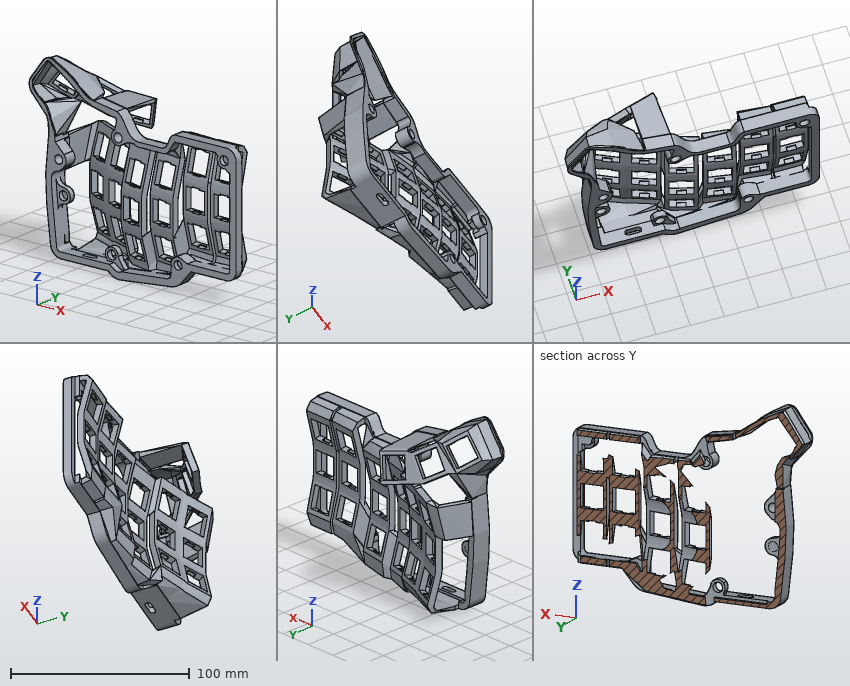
import cadquery as cq
import math


FLATNESS = 1e-6
DECIMALS = 9

PLATE_SIZE = 18.8
PLATE_THICKNESS = 4.0
KEY_OPENING = 14.0
CLIP_WIDTH = 5.4
CLIP_REACH = 0.6
CLIP_DEPTH = 2.5

ROW_GAP = 3.4
ROW_ANGLE = 14.0
BOTTOM_MARGIN = 0.5
COLUMNS = [
    ((29.9, 23.6, 42.6), 25.0, 3.6),
    ((49.3, 15.6, 43.3), 20.0, 3.6),
    ((68.3, 5.5, 40.0), 15.0, 6.2),
    ((90.6, 4.6, 43.8), 9.5, 2.5),
    ((112.8, 6.9, 55.2), 5.5, 2.5),
    ((133.3, 6.6, 55.2), 0.0, 2.5),
]
BOTTOM_END, BOTTOM_KEY_TOP, MIDDLE_LOW, MIDDLE_HIGH, TOP_KEY_LOW, TOP_END = range(6)

THUMB_WIDTH = 17.1
THUMB_KEYS = [
    ((17.0, 14.6, 103.5), 38.7, 32.0, 0.0),
    ((32.6, 24.4, 94.5), 32.6, 28.5, 7.0),
    ((52.0, 33.16, 88.1), 12.0, 21.5, 14.0),
]

THUMB_RIM_HEIGHT = 1.1
RIM_HEIGHT = 8.0
LEFT_RIM_HEIGHT = 12.3
RIGHT_RIM_HEIGHT = 5.1
RIM_LEFT, RIM_RIGHT = 0.0, 147.36
RIM_TOP = 120.86
BOTTOM_RIM_HEIGHT = 16.1
BOTTOM_RIM_X = (24.0, 57.0)
BOTTOM_RIM_TOP_Z = 6.0
RIGHT_BAR_X = 142.7
UPPER_Z, STEP_Z, LOWER_Z, BOTTOM_Z = 94.1, 84.4, 15.5, 3.6
UPPER_BAR, STEP_BAR, SIDE_BAR = 4.3, 3.0, 4.1
CORNER_RADIUS = 7.0
THUMB_RIM_END_X = 46.0
THUMB_RIM_END_Z = 75.0
LEFT_RIM_X = 19.0
LEFT_RIM_Z = (10.0, 74.0)
WALL_ROOT = 0.8

THUMB_BELLY = (0.85, 0.6)
SHOULDER_BELLY = (0.3, 0.93)
SLIGHT_BELLY = (0.75, 0.65)
ROUND_BELLY = (0.85, 0.85)
DEEP_BELLY = (0.6, 0.87)
FLAP_BELLY = (0.55, 0.9)

SLOT_X, SLOT_Y = 39.7, 4.6
SLOT_LENGTH, SLOT_WIDTH = 9.4, 3.4
SLOT_REACH = 9.0

BOSS_RECESS = 4.3
FLAT_SIDE, FLAT_TOP = 3.5, 3.0
THROUGH, BLIND = RIM_HEIGHT, 3.0
LEFT_BOSS = (21.0, 39.5, 4.9, 5.9, BOSS_RECESS, BLIND)
BOTTOM_BOSS = (55.4, 11.8, 4.6, 5.9, BOSS_RECESS, THROUGH)
BOSSES = [
    LEFT_BOSS,
    BOTTOM_BOSS,
    (21.0, 62.1, 5.3, 5.5, 0.0, THROUGH),
    (105.9, 17.4, 4.9, 5.5, 0.0, BLIND),
    (138.7, 86.3, 4.9, 5.9, 0.0, BLIND),
    (63.2, 83.9, 4.7, 5.9, 0.0, THROUGH),
]


def facets_of(a, b, c, d):
    """Keep a flat four-cornered face; split a warped one along a diagonal set by its corners."""
    va, vb, vc, vd = (cq.Vector(*p) for p in (a, b, c, d))
    normal = (vc - va).cross(vd - vb)
    if abs((vb - va).dot(normal)) < FLATNESS * normal.Length:
        return [[a, b, c, d]]
    corners = [a, b, c, d]
    first = corners.index(min(corners))
    a, b, c, d = corners[first:] + corners[:first]
    return [[a, b, c], [a, c, d]]


def face(points):
    vectors = [cq.Vector(*p) for p in points]
    return cq.Face.makeFromWires(cq.Wire.makePolygon(vectors, close=True))


def skin(lower, upper):
    """Solid with flat facets between two outlines of equally many points."""
    count = len(lower)
    facets = []
    for i in range(count):
        j = (i + 1) % count
        facets += facets_of(lower[i], lower[j], upper[j], upper[i])
    for end in (lower, upper):
        facets += facets_of(*end) if count == 4 else [end]
    return solid_of(facets)


def solid_of(facets):
    """Solid closed by flat facets, each a list of corners."""
    solid = cq.Solid.makeSolid(cq.Shell.makeShell([face(f) for f in facets]))
    return solid if solid.Volume() > 0 else cq.Solid(solid.wrapped.Reversed())


def hull(points):
    """Convex solid around a few points."""
    vectors = [cq.Vector(*p) for p in points]
    facets = {}
    count = len(vectors)
    triples = [(a, b, c) for c in range(count) for b in range(c) for a in range(b)]
    for a, b, c in triples:
        normal = (vectors[b] - vectors[a]).cross(vectors[c] - vectors[a])
        if normal.Length < FLATNESS:
            continue
        normal = normal.normalized()
        heights = [(v - vectors[a]).dot(normal) for v in vectors]
        if min(heights) > -FLATNESS or max(heights) < FLATNESS:
            facets[tuple(i for i, h in enumerate(heights) if abs(h) < FLATNESS)] = normal
    return solid_of([ring_order([vectors[i] for i in f], n) for f, n in facets.items()])


def ring_order(vectors, normal):
    """Corners of a flat convex facet, put in order around its middle."""
    middle = sum(vectors, cq.Vector()) * (1 / len(vectors))
    right = (vectors[0] - middle).normalized()
    up = normal.cross(right)
    ordered = sorted(vectors, key=lambda v: math.atan2((v - middle).dot(up), (v - middle).dot(right)))
    return [v.toTuple() for v in ordered]


def world(plane, x, y, depth):
    """Point at (x, y) on a plate's underside plane, moved back by depth."""
    return tuple(round(c, DECIMALS) for c in plane.toWorldCoords((x, y, -depth)).toTuple())


def key_opening(plane):
    """Square switch opening with clip notches at its two ends, open to the underside."""
    through = 3 * PLATE_THICKNESS
    opening = cq.Workplane(plane).box(KEY_OPENING, KEY_OPENING, through)
    notch_length = KEY_OPENING + 2 * CLIP_REACH
    notches = cq.Workplane(plane).box(CLIP_WIDTH, notch_length, 2 * CLIP_DEPTH)
    return opening.union(notches).val()


def column_plane(centre, tilt):
    a = math.radians(tilt)
    across = (math.cos(a), -math.sin(a), 0)
    return cq.Plane(origin=centre, xDir=across, normal=(-math.sin(a), -math.cos(a), 0))


def half_profile(margin):
    """Underside and back points (distance, depth) from the middle key to one end."""
    bend = math.radians(ROW_ANGLE)
    y = PLATE_SIZE / 2
    depth = 0.0
    under = [(y, depth)]
    for length, angle in ((ROW_GAP, bend / 2), (PLATE_SIZE + margin, bend)):
        y += length * math.cos(angle)
        depth += length * math.sin(angle)
        under.append((y, depth))
    back = []
    for (y, depth), lean in zip(under, (bend / 4, 3 * bend / 4, bend)):
        back.append((y - PLATE_THICKNESS * math.sin(lean), depth + PLATE_THICKNESS * math.cos(lean)))
    return under, back


def column_side(column, side, first=BOTTOM_END, last=TOP_END):
    """Outline of one side of a column (side -1 left, +1 right) between two bend lines."""
    centre, tilt, margin = COLUMNS[column]
    plane = column_plane(centre, tilt)
    x = side * PLATE_SIZE / 2
    low = half_profile(BOTTOM_MARGIN)
    high = half_profile(margin)
    lines = []
    for down, up in zip(low, high):
        lines.append([(-y, d) for y, d in reversed(down)] + up)
    under = lines[0][first:last + 1]
    back = lines[1][first:last + 1]
    return [world(plane, x, y, d) for y, d in under + back[::-1]]


def column_end(column, line):
    """Four corners of a column's end: back left, back right, under right, under left."""
    under_left, back_left = column_side(column, -1, line, line)
    under_right, back_right = column_side(column, 1, line, line)
    return [back_left, back_right, under_right, under_left]


def column_openings(column):
    centre, tilt, _ = COLUMNS[column]
    plane = column_plane(centre, tilt)
    bend = math.radians(ROW_ANGLE)
    under, _ = half_profile(0)
    y = (under[1][0] + under[2][0]) / 2
    depth = (under[1][1] + under[2][1]) / 2
    openings = [key_opening(plane)]
    for way in (-1, 1):
        normal = plane.zDir * math.cos(bend) + plane.yDir * (way * math.sin(bend))
        openings.append(key_opening(cq.Plane(world(plane, 0, way * y, depth), plane.xDir, normal)))
    return openings


def column_joint(left, first, last):
    """Web between a column and the next one to its right."""
    return skin(column_side(left, 1, first, last), column_side(left + 1, -1, first, last))


def thumb_plane(key):
    centre, turn, tilt, pitch = THUMB_KEYS[key]
    f, t, p = (math.radians(angle) for angle in (turn, tilt, pitch))
    across = cq.Vector(math.cos(t) * math.cos(f), math.sin(t), -math.cos(t) * math.sin(f))
    along = cq.Vector(math.sin(f), 0, math.cos(f))
    normal = across.cross(along)
    return cq.Plane(centre, across, normal * math.cos(p) - along * math.sin(p))


def thumb_edge(key, across, along):
    """Back and underside points at a corner of a thumb plate."""
    plane = thumb_plane(key)
    x = across * THUMB_WIDTH / 2
    y = along * PLATE_SIZE / 2
    return world(plane, x, y, PLATE_THICKNESS), world(plane, x, y, 0)


def strip(first, second):
    """Four corners from two (back, underside) or (outer, inner) edges."""
    return [first[0], second[0], second[1], first[1]]


def thumb_side(key, side):
    return strip(thumb_edge(key, side, -1), thumb_edge(key, side, 1))


def rim_edge(height, outer, inner):
    """Outer and inner (X, Z) points on the rim, just below its given height."""
    y = height - WALL_ROOT
    return (outer[0], y, outer[1]), (inner[0], y, inner[1])


def wall(plate_end, rim_strip, belly=None):
    """Pieces of a wall from a plate edge down to the rim.

    The belly gives how far along the way to the rim (sideways) and up to the
    plate (upward) the middle of the wall lies, as fractions.
    """
    if belly is None:
        return [hull(plate_end + rim_strip)]
    sideways, upward = belly
    middle = []
    for (px, py, pz), (rx, ry, rz) in zip(plate_end, rim_strip):
        middle.append((px + (rx - px) * sideways, ry + (py - ry) * upward, pz + (rz - pz) * sideways))
    return [hull(plate_end + middle), hull(middle + rim_strip)]


def thumb_walls():
    lower_end = rim_edge(LEFT_RIM_HEIGHT, (13.8, 74.5), (17.5, 74.5))
    lower_foot = rim_edge(THUMB_RIM_HEIGHT, (13.8, 74.5), (17.5, 74.5))
    lower_bend = rim_edge(THUMB_RIM_HEIGHT, (12.9, 85.5), (15.0, 84.4))
    lower = rim_edge(THUMB_RIM_HEIGHT, (7.9, 92.0), (9.4, 93.4))
    left = rim_edge(THUMB_RIM_HEIGHT, (0.3, 101.5), (2.3, 102.0))
    tip = rim_edge(THUMB_RIM_HEIGHT, (12.8, 120.4), (13.3, 118.6))
    upper = rim_edge(THUMB_RIM_HEIGHT, (27.4, 114.0), (27.0, 110.9))
    upper_end = rim_edge(THUMB_RIM_HEIGHT, (45.2, 101.9), (45.0, 99.2))
    inner_key_left = rim_edge(RIM_HEIGHT, (46.2, 101.7), (46.0, 98.9))
    inner_key_right = rim_edge(RIM_HEIGHT, (62.6, 98.8), (61.5, 95.8))
    low_left, high_left = thumb_edge(0, -1, -1), thumb_edge(0, -1, 1)
    low_right, high_right = thumb_edge(0, 1, -1), thumb_edge(0, 1, 1)
    low_joint = strip(low_right, thumb_edge(1, -1, -1))
    return [
        wall(strip(low_left, high_left), strip(left, tip), THUMB_BELLY),
        wall(strip(high_left, high_right), strip(tip, upper), THUMB_BELLY),
        wall(strip(high_right, thumb_edge(1, -1, 1)), strip(upper, upper_end), THUMB_BELLY),
        wall(strip(low_left, low_right), strip(left, lower), THUMB_BELLY),
        wall(low_joint, strip(lower, lower_bend)),
        wall(low_joint, strip(lower_bend, lower_end) + list(lower_foot)),
        wall(
            strip(thumb_edge(2, -1, 1), thumb_edge(2, 1, 1)),
            strip(inner_key_left, inner_key_right),
            SHOULDER_BELLY,
        ),
    ]


def top_walls():
    ends = [
        ((73.0, 84.2), (73.0, 82.2)), ((80.0, 84.2), (80.0, 81.6)),
        ((82.0, 84.2), (82.0, 81.6)), ((95.9, 84.2), (97.2, 82.0)),
        ((103.6, 93.9), (103.6, 90.0)), ((122.3, 93.9), (122.3, 90.0)),
        ((124.0, 93.9), (124.0, 90.0)), ((142.6, 93.9), (142.6, 90.0)),
    ]
    edges = [rim_edge(RIM_HEIGHT, outer, inner) for outer, inner in ends]
    spans = dict(zip((2, 3, 4, 5), zip(edges[::2], edges[1::2])))
    walls = []
    for column, span in spans.items():
        walls.append(wall(column_end(column, TOP_END), strip(*span), SLIGHT_BELLY))
    back_left, _, _, under_left = column_end(2, TOP_END)
    boss_side = rim_edge(RIM_HEIGHT, (66.8, 91.5), (63.5, 86.0))
    walls.append([hull([back_left, under_left] + strip(boss_side, spans[2][0]))])
    _, back_right, under_right, _ = column_end(3, TOP_END)
    step_side = rim_edge(RIM_HEIGHT, (102.5, 92.5), (103.0, 89.2))
    walls.append([hull([back_right, under_right] + strip(spans[3][1], step_side))])
    return walls


def bottom_walls():
    edges = [
        rim_edge(BOTTOM_RIM_HEIGHT, (23.8, 3.8), (23.8, 5.9)),
        rim_edge(BOTTOM_RIM_HEIGHT, (40.6, 3.8), (40.6, 5.9)),
        rim_edge(BOTTOM_RIM_HEIGHT, (42.2, 3.8), (42.2, 5.9)),
        rim_edge(BOTTOM_RIM_HEIGHT, (56.3, 3.8), (56.3, 5.9)),
        rim_edge(RIM_HEIGHT, (64.4, 0.4), (65.0, 5.5)),
        rim_edge(RIM_HEIGHT, (79.0, 1.8), (79.0, 6.0)),
        rim_edge(RIM_HEIGHT, (82.4, 2.1), (82.4, 6.3)),
        rim_edge(RIM_HEIGHT, (100.3, 3.8), (98.5, 8.2)),
        rim_edge(RIM_HEIGHT, (115.4, 15.8), (106.0, 20.0)),
        rim_edge(RIM_HEIGHT, (122.3, 15.7), (122.3, 19.4)),
        rim_edge(RIM_HEIGHT, (124.0, 15.7), (124.0, 19.4)),
        rim_edge(RIM_HEIGHT, (140.2, 15.8), (140.2, 19.8)),
    ]
    ends = [column_end(column, BOTTOM_END) for column in range(len(COLUMNS))]
    walls = []
    for column, end in enumerate(ends):
        belly = DEEP_BELLY if column < 2 else ROUND_BELLY
        walls.append(wall(end, strip(edges[2 * column], edges[2 * column + 1]), belly))
    for left in (0, 1, 2, 3):
        gap_end = [ends[left][1], ends[left + 1][0], ends[left + 1][3], ends[left][2]]
        belly = DEEP_BELLY if left < 1 else ROUND_BELLY
        walls.append(wall(gap_end, strip(edges[2 * left + 1], edges[2 * left + 2]), belly))
    return walls


def left_flap():
    """Wall from the left side of the inner column's top key to the left rim."""
    under_low, under_high, back_high, back_low = column_side(0, -1, TOP_KEY_LOW, TOP_END)
    low = rim_edge(LEFT_RIM_HEIGHT, (12.2, 52.0), (16.5, 52.0))
    high = rim_edge(LEFT_RIM_HEIGHT, (13.6, 72.5), (17.7, 72.5))
    return wall([back_low, back_high, under_high, under_low], strip(low, high), FLAP_BELLY)


def rim_plane(height=0.0):
    """Plane with X to the right and Z up; extruding by a negative height goes to +Y."""
    return cq.Workplane("XZ", origin=(0, height, 0))


def rim_outline():
    thumb_top = [(17.7, 119.8), (25.7, 115.5), (32.8, 110.6), (39.5, 104.7), (45.2, 102.2)]
    return (
        rim_plane()
        .moveTo(10.2, 119.1)
        .threePointArc((13.9, RIM_TOP - 0.02), thumb_top[0])
        .spline(thumb_top[1:], includeCurrent=True)
        .lineTo(62.5, 99.3)
        .spline([(67.4, 94.2), (70.5, 88.9), (77.4, STEP_Z)], includeCurrent=True)
        .lineTo(95.0, STEP_Z)
        .spline([(97.2, 85.8), (99.8, 90.8), (103.3, UPPER_Z)], includeCurrent=True)
        .lineTo(RIM_RIGHT - CORNER_RADIUS, UPPER_Z)
        .radiusArc((RIM_RIGHT, UPPER_Z - CORNER_RADIUS), CORNER_RADIUS)
        .lineTo(RIM_RIGHT, LOWER_Z + CORNER_RADIUS)
        .radiusArc((RIM_RIGHT - CORNER_RADIUS, LOWER_Z), CORNER_RADIUS)
        .lineTo(115.2, LOWER_Z)
        .lineTo(108.3, 7.5)
        .threePointArc((105.1, 4.9), (100.6, BOTTOM_Z))
        .lineTo(65.0, 0.045)
        .threePointArc((61.0, 0.5), (56.3, BOTTOM_Z))
        .lineTo(23.9, BOTTOM_Z)
        .threePointArc((17.8, 5.5), (15.2, 10.0))
        .lineTo(12.4, 34.5)
        .lineTo(11.7, 52.3)
        .lineTo(12.0, 55.5)
        .lineTo(13.5, 72.3)
        .spline([(14.0, 76.5), (12.4, 86.3)], includeCurrent=True)
        .lineTo(1.8, 97.8)
        .threePointArc((RIM_LEFT + 0.05, 102.0), (0.6, 106.0))
        .close()
    )


def rim_opening():
    return (
        rim_plane()
        .moveTo(12.0, 118.0)
        .threePointArc((13.2, 118.9), (14.7, 118.6))
        .lineTo(27.5, 110.2)
        .lineTo(39.0, 101.3)
        .lineTo(45.2, 98.7)
        .lineTo(59.4, 95.6)
        .threePointArc((61.6, 94.8), (62.0, 93.0))
        .lineTo(60.0, 84.0)
        .lineTo(64.0, 80.5)
        .lineTo(67.4, 80.9)
        .spline([(70.9, 82.5), (77.1, STEP_Z - STEP_BAR)], includeCurrent=True)
        .lineTo(96.2, STEP_Z - STEP_BAR)
        .threePointArc((98.9, 82.9), (100.4, 85.4))
        .lineTo(103.5, UPPER_Z - UPPER_BAR)
        .lineTo(131.2, UPPER_Z - UPPER_BAR)
        .threePointArc((133.6, 88.6), (134.3, 86.0))
        .lineTo(138.7, 82.0)
        .lineTo(RIGHT_BAR_X, 79.2)
        .lineTo(RIGHT_BAR_X, 22.4)
        .threePointArc((142.0, 20.3), (139.9, LOWER_Z + SIDE_BAR))
        .lineTo(112.6, LOWER_Z + SIDE_BAR)
        .lineTo(108.5, 21.5)
        .lineTo(101.5, 20.2)
        .lineTo(100.9, 11.8)
        .threePointArc((100.1, 9.0), (97.5, BOTTOM_Z + SIDE_BAR))
        .lineTo(65.6, 5.1)
        .threePointArc((63.0, 4.4), (61.0, 5.1))
        .lineTo(57.2, BOTTOM_Z + SIDE_BAR)
        .lineTo(22.6, BOTTOM_Z + SIDE_BAR)
        .threePointArc((20.4, 8.4), (19.5, 10.5))
        .lineTo(17.3, 30.9)
        .lineTo(16.0, 44.8)
        .lineTo(15.8, 49.9)
        .threePointArc((17.4, 53.7), (21.3, 55.2))
        .lineTo(24.8, 58.3)
        .lineTo(24.8, 65.9)
        .lineTo(18.6, 72.0)
        .lineTo(17.7, 78.3)
        .spline([(15.1, 84.5), (11.7, 92.0), (6.2, 96.9), (2.4, 101.5)], includeCurrent=True)
        .lineTo(2.2, 105.3)
        .close()
    )


def rim_block(x_range, z_range, height):
    """Box on Y = 0 that picks out a stretch of the rim."""
    size = (x_range[1] - x_range[0], height, z_range[1] - z_range[0])
    corner = cq.Vector(x_range[0], 0, z_range[0])
    return cq.Workplane(cq.Solid.makeBox(*size, pnt=corner))


def rim():
    ring = rim_outline().extrude(-BOTTOM_RIM_HEIGHT).cut(rim_opening().extrude(-BOTTOM_RIM_HEIGHT))
    full_x, full_z = (RIM_LEFT - 1, RIM_RIGHT + 1), (-1, RIM_TOP + 1)
    heights = (
        rim_block(full_x, full_z, THUMB_RIM_HEIGHT)
        .union(rim_block((THUMB_RIM_END_X, RIGHT_BAR_X), full_z, RIM_HEIGHT))
        .union(rim_block((full_x[0], RIGHT_BAR_X), (full_z[0], THUMB_RIM_END_Z), RIM_HEIGHT))
        .union(rim_block((RIGHT_BAR_X, full_x[1]), full_z, RIGHT_RIM_HEIGHT))
        .union(rim_block((full_x[0], LEFT_RIM_X), LEFT_RIM_Z, LEFT_RIM_HEIGHT))
        .union(rim_block(BOTTOM_RIM_X, (full_z[0], BOTTOM_RIM_TOP_Z), BOTTOM_RIM_HEIGHT))
        .union(rim_block((full_x[0], BOTTOM_RIM_X[0]), (full_z[0], LEFT_RIM_Z[0]), LEFT_RIM_HEIGHT))
    )
    ring = ring.intersect(heights)
    for x, z, radius, _, start, _ in BOSSES:
        height = RIGHT_RIM_HEIGHT if x + radius > RIGHT_BAR_X else RIM_HEIGHT
        ring = ring.union(rim_plane(start).center(x, z).circle(radius).extrude(start - height))
    return ring.union(boss_feet()).cut(cable_slot())


def boss_feet():
    """Blocks that tie the two raised bosses to the rim."""
    x, z, radius = BOTTOM_BOSS[:3]
    side = x - FLAT_SIDE
    bottom = [(side, z + FLAT_TOP), (side, 5.0), (65.0, 4.0), (61.6, 8.7), (x + radius, z)]
    x, z, radius = LEFT_BOSS[:3]
    left = rim_plane(BOSS_RECESS).moveTo(14.5, 30.0).lineTo(17.3, 30.9)
    left = left.threePointArc((18.6, 33.6), (x, z - radius)).lineTo(x, z + radius)
    left = left.lineTo(19.0, 44.8).threePointArc((16.9, 46.2), (15.8, 49.0)).lineTo(14.0, 49.0).close()
    length = RIM_HEIGHT - BOSS_RECESS
    return left.extrude(-length).union(rim_plane(BOSS_RECESS).polyline(bottom).close().extrude(-length))


def cable_slot():
    """Rounded slot for the cable, through the bottom stretch of the rim."""
    middle = (SLOT_X, SLOT_Y)
    return cq.Workplane("XY").center(*middle).slot2D(SLOT_LENGTH, SLOT_WIDTH).extrude(SLOT_REACH)


def screw_holes():
    holes = []
    for x, z, _, diameter, start, depth in BOSSES:
        holes.append(rim_plane(start).center(x, z).circle(diameter / 2).extrude(-depth).val())
    return holes


def build():
    parts = [skin(column_side(c, -1), column_side(c, 1)) for c in range(len(COLUMNS))]
    parts += [
        column_joint(0, BOTTOM_END, TOP_END),
        column_joint(1, TOP_KEY_LOW, TOP_END),
        column_joint(2, BOTTOM_END, BOTTOM_KEY_TOP),
        column_joint(3, BOTTOM_END, BOTTOM_KEY_TOP),
        column_joint(4, TOP_KEY_LOW, TOP_END),
    ]
    parts += [skin(thumb_side(key, -1), thumb_side(key, 1)) for key in range(len(THUMB_KEYS))]
    parts += [skin(thumb_side(key, 1), thumb_side(key + 1, -1)) for key in (0, 1)]
    for pieces in thumb_walls() + top_walls() + bottom_walls() + [left_flap()]:
        parts += pieces
    body = rim().val()
    for part in parts:
        body = body.fuse(part)
    cuts = screw_holes()
    for column in range(len(COLUMNS)):
        cuts += column_openings(column)
    cuts += [key_opening(thumb_plane(key)) for key in range(len(THUMB_KEYS))]
    return body.cut(*cuts).clean()


result = cq.Workplane(build())